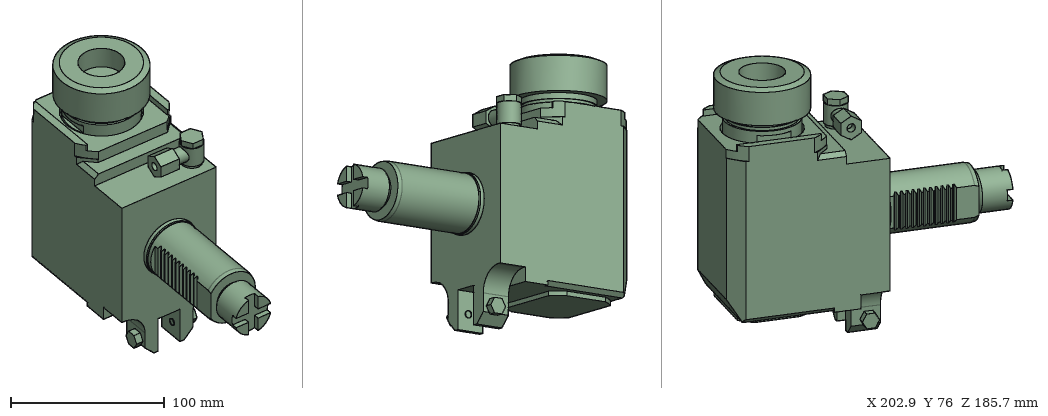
import cadquery as cq
import math


width = 76.0
half_width = width / 2
left_x = -109.5
bottom_z = -55.6
shoulder_z = 47.3
deck_z = 55.6
deck_end_x = -30.0
tower_top_z = 58.2
tower_right_x = -40.2
corner_chamfer = 10.0
edge_chamfer = 3.0
lower_edge_end_x = -38.4
toe_run = 8.7
toe_rise = 14.8
spindle_x = (left_x + tower_right_x) / 2
tower_length = tower_right_x - left_x

plate_top_z = 64.3
plate_radius = 44.2
rail_top_z = 68.5
rail_inner_y = 32.0
rail_length = 58.0
boss_height = 3.0
boss_length = 50.3
boss_width = 60.7
boss_radius = 34.0

lug_length = 20.3
lug_bottom_z = -82.0
lug_inner_y = 8.7
lug_outer_y = 19.3
lug_chamfer = 7.1
root_radius = 16.6
root_top_z = -45.9
screw_x = -8.3
screw_z = -70.8
screw_flats = 10.4
screw_head = 5.0
screw_tip_radius = 2.5
screw_tip = 0.6

shank_radius = 19.9
shank_length = 69.0
shank_chamfer_length = 3.0
shank_chamfer_depth = 0.6
collar_radius = 20.7
collar_length = 2.8
collar_edge_radius = 20.3
band_length = 1.2
flat_start_x = 7.1
flat_y = -16.5
groove_count = 11
groove_span = 40.2
first_groove_x = 11.8
groove_pitch = groove_span / (groove_count - 1)
groove_depth = 1.6
groove_mouth = 3.0
groove_floor = 1.0

tang_end_x = 93.4
tang_radius = 14.5
tang_neck_radius = 11.5
tang_cone_length = 3.2
tang_slot_depth = 3.9
tang_slot_width = 7.5

fitting_x = -14.0
fitting_y = 28.5
fitting_flats = 14.5
fitting_foot_radius = 7.1
fitting_ring_radius = 8.1
fitting_ring_bottom_z = 49.5
fitting_ring_top_z = 64.0
fitting_top_z = 68.2
nozzle_z = 56.6
pipe_radius = 5.5
nozzle_back_y = 13.2
nozzle_front_y = -1.6
nozzle_bore_radius = 2.8
nozzle_bore_depth = 6.0

spindle_top_z = 103.7
nut_bottom_z = 78.5
nut_radius = 31.7
nut_top_radius = 27.4
nut_chamfer_height = 1.8
neck_radius = 25.2
groove_top_z = 74.7
neck_groove_radius = 24.4
flange_top_z = 72.3
flange_radius = 26.0
seat_radius = 27.4
wrench_flat_y = 23.1
wrench_flat_bottom_z = 63.7
wrench_flat_top_z = 69.2
bore_radius = 15.2
bore_depth = 15.0


def box(x0, x1, y0, y1, z0, z1):
    return cq.Workplane("XY").box(x1 - x0, y1 - y0, z1 - z0, centered=False).translate((x0, y0, z0))


def upright_cylinder(x, y, radius, z0, z1):
    return cq.Workplane("XY", origin=(x, y, z0)).circle(radius).extrude(z1 - z0)


def hex_prism(plane, origin, across_flats, length, turn):
    """Hexagonal prism along the plane's normal; a turn of 0 puts a corner on the plane's x axis."""
    corner_diameter = across_flats / math.cos(math.pi / 6)
    return (cq.Workplane(plane, origin=origin).transformed(rotate=(0, 0, turn))
            .polygon(6, corner_diameter).extrude(length))


def rounded_block(length, block_width, radius, z0, z1):
    """Rectangular block about the spindle axis whose corners follow one common circle."""
    half_length = length / 2
    block = box(spindle_x - half_length, spindle_x + half_length, -block_width / 2, block_width / 2, z0, z1)
    return block.intersect(upright_cylinder(spindle_x, 0, radius, z0, z1))


def make_block():
    base = box(left_x, 0, -half_width, half_width, bottom_z, shoulder_z)
    base = base.union(box(left_x, deck_end_x, -half_width, half_width, shoulder_z, deck_z))
    base = base.edges("|Z and <X").chamfer(corner_chamfer)

    for side in (-1, 1):
        for edge_z, inward, end_x in ((deck_z, -1, deck_end_x), (bottom_z, 1, lower_edge_end_x)):
            bevel = (cq.Workplane("YZ", origin=(left_x, 0, 0))
                     .moveTo(side * half_width, edge_z)
                     .lineTo(side * (half_width - edge_chamfer), edge_z)
                     .lineTo(side * half_width, edge_z + inward * edge_chamfer)
                     .close().extrude(end_x - left_x))
            base = base.cut(bevel)

    tower_base_z = deck_z - edge_chamfer
    tower = box(left_x, tower_right_x, -half_width, half_width, tower_base_z, tower_top_z)
    base = base.union(tower.edges("|Z").chamfer(corner_chamfer))

    toe = (cq.Workplane("XZ", origin=(0, half_width, 0))
           .moveTo(left_x, bottom_z)
           .lineTo(left_x + toe_run, bottom_z)
           .lineTo(left_x, bottom_z + toe_rise)
           .close().extrude(width))
    return base.cut(toe)


def make_top_plate():
    plate = rounded_block(tower_length, width, plate_radius, tower_top_z, plate_top_z)
    rails = rounded_block(rail_length, width, plate_radius, plate_top_z, rail_top_z)
    gap = box(left_x, tower_right_x, -rail_inner_y, rail_inner_y, plate_top_z, rail_top_z)
    seat = upright_cylinder(spindle_x, 0, seat_radius, tower_top_z, plate_top_z)
    return plate.union(rails.cut(gap)).cut(seat)


def cut_lug_roots(block):
    """Remove the block's lower outer corners above the lugs, leaving a concave fillet."""
    root_bottom_z = root_top_z - root_radius
    for side in (-1, 1):
        root = (cq.Workplane("YZ", origin=(-lug_length, 0, 0))
                .moveTo(side * half_width, root_top_z)
                .lineTo(side * (lug_outer_y + root_radius), root_top_z)
                .radiusArc((side * lug_outer_y, root_bottom_z), -side * root_radius)
                .lineTo(side * half_width, root_bottom_z)
                .close().extrude(lug_length))
        block = block.cut(root)
    return block


def make_lug(side):
    inner_y = side * lug_inner_y
    outer_y = side * lug_outer_y
    root_bottom_z = root_top_z - root_radius
    lug = (cq.Workplane("YZ", origin=(-lug_length, 0, 0))
           .moveTo(inner_y, bottom_z)
           .lineTo(inner_y, lug_bottom_z)
           .lineTo(outer_y - side * lug_chamfer, lug_bottom_z)
           .lineTo(outer_y, lug_bottom_z + lug_chamfer)
           .lineTo(outer_y, root_bottom_z)
           .radiusArc((side * (lug_outer_y + root_radius), root_top_z), side * root_radius)
           .lineTo(inner_y, root_top_z)
           .close().extrude(lug_length))
    head = hex_prism("XZ", (screw_x, outer_y, screw_z), screw_flats, -side * screw_head, 0)
    tip = (cq.Workplane("XZ", origin=(screw_x, inner_y, screw_z))
           .circle(screw_tip_radius).extrude(side * screw_tip))
    return lug.union(head).union(tip)


def make_shank():
    band_end_x = collar_length + band_length
    chamfer_start_x = shank_length - shank_chamfer_length
    shank = (cq.Workplane("XY")
             .lineTo(0, collar_edge_radius)
             .threePointArc((collar_length / 2, collar_radius), (collar_length, collar_edge_radius))
             .lineTo(band_end_x, collar_edge_radius)
             .lineTo(band_end_x, shank_radius)
             .lineTo(chamfer_start_x, shank_radius)
             .lineTo(shank_length, shank_radius - shank_chamfer_depth)
             .lineTo(shank_length, 0)
             .close().revolve(360, (0, 0, 0), (1, 0, 0)))
    shank = shank.cut(box(flat_start_x, shank_length, -collar_radius, flat_y, -shank_radius, shank_radius))
    for index in range(groove_count):
        centre_x = first_groove_x + index * groove_pitch
        groove = (cq.Workplane("XY", origin=(centre_x, flat_y, -shank_radius))
                  .moveTo(-groove_mouth / 2, 0)
                  .lineTo(-groove_floor / 2, groove_depth)
                  .lineTo(groove_floor / 2, groove_depth)
                  .lineTo(groove_mouth / 2, 0)
                  .close().extrude(2 * shank_radius))
        shank = shank.cut(groove)
    return shank


def make_tang():
    slot_floor_x = tang_end_x - tang_slot_depth
    tang = (cq.Workplane("XY")
            .moveTo(shank_length, 0)
            .lineTo(shank_length, tang_neck_radius)
            .lineTo(shank_length + tang_cone_length, tang_radius)
            .lineTo(tang_end_x, tang_radius)
            .lineTo(tang_end_x, 0)
            .close().revolve(360, (0, 0, 0), (1, 0, 0)))
    half_slot = tang_slot_width / 2
    level_slot = box(slot_floor_x, tang_end_x, -tang_radius, tang_radius, -half_slot, half_slot)
    upright_slot = box(slot_floor_x, tang_end_x, -half_slot, half_slot, -tang_radius, tang_radius)
    return tang.cut(level_slot).cut(upright_slot)


def make_fitting():
    foot = upright_cylinder(fitting_x, fitting_y, fitting_foot_radius, shoulder_z, fitting_ring_bottom_z)
    ring = upright_cylinder(fitting_x, fitting_y, fitting_ring_radius, fitting_ring_bottom_z, fitting_ring_top_z)
    head_height = fitting_top_z - fitting_ring_top_z
    head = hex_prism("XY", (fitting_x, fitting_y, fitting_ring_top_z), fitting_flats, head_height, 90)
    pipe = (cq.Workplane("XZ", origin=(fitting_x, fitting_y, nozzle_z))
            .circle(pipe_radius).extrude(fitting_y - nozzle_back_y))
    nozzle_length = nozzle_back_y - nozzle_front_y
    nozzle = hex_prism("XZ", (fitting_x, nozzle_back_y, nozzle_z), fitting_flats, nozzle_length, 90)
    bore = (cq.Workplane("XZ", origin=(fitting_x, nozzle_front_y, nozzle_z))
            .circle(nozzle_bore_radius).extrude(-nozzle_bore_depth))
    return foot.union(ring).union(head).union(pipe).union(nozzle.cut(bore))


def make_housing():
    boss = rounded_block(boss_length, boss_width, boss_radius, bottom_z - boss_height, bottom_z)
    body = cut_lug_roots(make_block())
    parts = [make_top_plate(), boss, make_lug(-1), make_lug(1), make_shank(), make_tang(), make_fitting()]
    for feature in parts:
        body = body.union(feature)
    return body


def make_spindle():
    """Turned spindle with its clamping nut, standing in the top plate's hole."""
    spindle = (cq.Workplane("XZ", origin=(spindle_x, 0, 0))
               .moveTo(0, tower_top_z)
               .lineTo(flange_radius, tower_top_z)
               .lineTo(flange_radius, flange_top_z)
               .lineTo(neck_groove_radius, flange_top_z)
               .lineTo(neck_groove_radius, groove_top_z)
               .lineTo(neck_radius, groove_top_z)
               .lineTo(neck_radius, nut_bottom_z)
               .lineTo(nut_radius, nut_bottom_z)
               .lineTo(nut_radius, spindle_top_z - nut_chamfer_height)
               .lineTo(nut_top_radius, spindle_top_z)
               .lineTo(bore_radius, spindle_top_z)
               .lineTo(bore_radius, spindle_top_z - bore_depth)
               .lineTo(0, spindle_top_z - bore_depth)
               .close().revolve(360, (0, 0, 0), (0, 1, 0)))
    front_x = spindle_x - flange_radius
    back_x = spindle_x + flange_radius
    for y0, y1 in ((-flange_radius, -wrench_flat_y), (wrench_flat_y, flange_radius)):
        spindle = spindle.cut(box(front_x, back_x, y0, y1, wrench_flat_bottom_z, wrench_flat_top_z))
    return spindle


housing = make_housing().solids()
spindle = make_spindle().solids()
result = cq.Compound.makeCompound([housing.val(), spindle.val()])